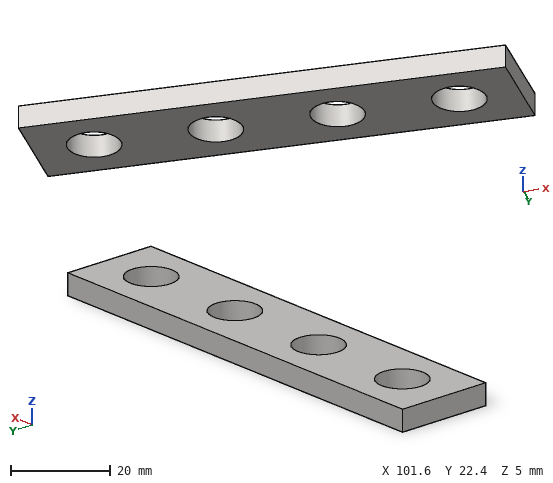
import cadquery as cq

length = 101.6
width = 22.4
thickness = 5.0

hole_count = 4
hole_diameter = 11.2
hole_pitch = length / hole_count

bar = cq.Workplane("XY").box(length, width, thickness)

result = (
    bar.faces(">Z")
    .workplane()
    .rarray(hole_pitch, width, hole_count, 1)
    .hole(hole_diameter)
)